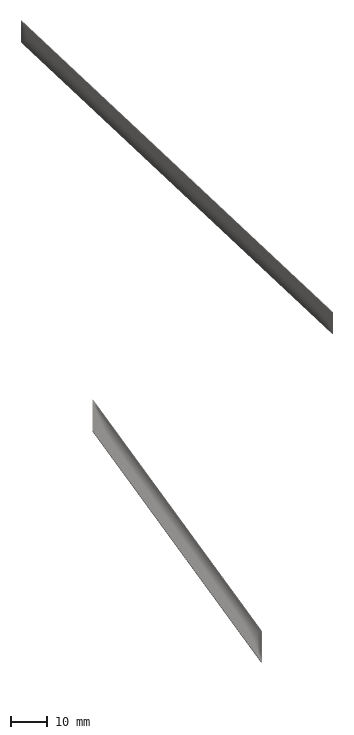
import cadquery as cq

length = 130.0
thickness = 0.2
height = 10.0

result = cq.Workplane("XY").box(length, thickness, height)